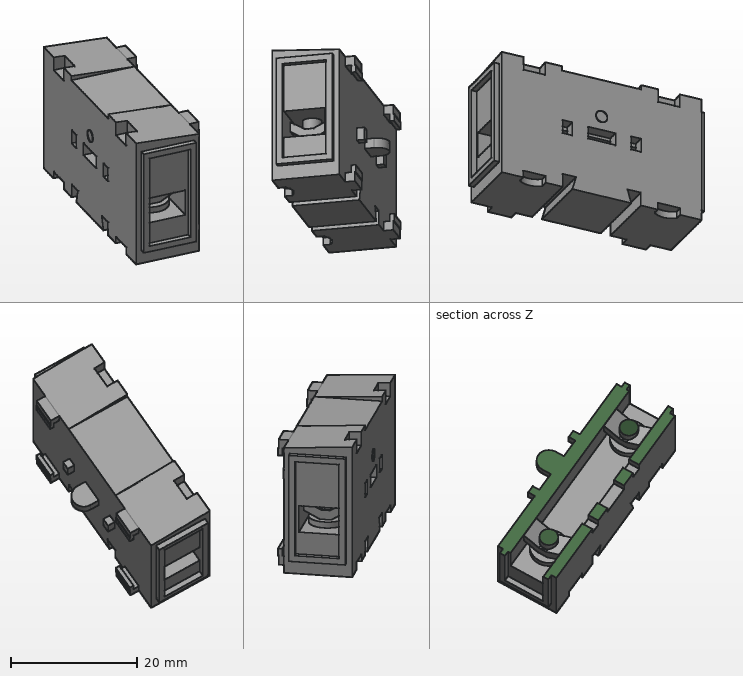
import cadquery as cq


TOTAL_LENGTH = 37.1
BODY_LENGTH = 35.25
BODY_DEPTH = 11.0
FRONT_HEIGHT = 21.8
BACK_HEIGHT = 21.05
LOW_TOP_WIDTH = 14.0

RIM_INSET = 0.93
RIM_WALL = 1.0
RIM_BOTTOM = 2.35
RIM_TOP = 20.1

CHANNEL_FRONT = RIM_INSET + RIM_WALL
CHANNEL_BACK = 8.57
CHANNEL_FLOOR = 7.0
CHANNEL_ROOF = 11.43

TERMINAL_X = 11.87

TOP_RECESS_WIDTH = 3.82
TOP_RECESS_FLOOR = 19.5
BOTTOM_RECESS_WIDTH = 3.95
BOTTOM_RECESS_RADIUS = 3.05
BOTTOM_RECESS_HEIGHT = 1.22

NOTCH_HEIGHT = RIM_BOTTOM
NOTCH_OUTER_X = 6.9
FOOT_HALF_TOP = 4.53
FOOT_HALF_BASE = 5.2

SOCKET_Z = 10.9
SIDE_SOCKET_X = 6.05
SIDE_SOCKET_WIDTH = 1.75
SIDE_SOCKET_HEIGHT = 2.37
MIDDLE_SOCKET_WIDTH = 4.85
MIDDLE_SOCKET_HEIGHT = 2.15

MARK_DIAMETER = 2.0
MARK_DEPTH = 0.1
MARK_Z = 14.45

TOTAL_DEPTH = 14.5
PEG_Z = 10.55
SIDE_PEG_X = 6.0
SIDE_PEG_WIDTH = 1.4
SIDE_PEG_HEIGHT = 2.05
SIDE_PEG_LENGTH = 1.22
MIDDLE_PEG_WIDTH = 3.97
MIDDLE_PEG_HEIGHT = 1.6

CLIP_WIDTH = 4.2
CLIP_ARM_LENGTH = 1.6
CLIP_ARM_HEIGHT = 1.52
CLIP_HOOK_HEIGHT = 2.7
CLIP_HOOK_START = 1.0
CLIP_HOOK_LIP = 0.1

SCREW_Y = 5.05
SHAFT_DIAMETER = 3.05
DISC_DIAMETER = 6.1
DISC_THICKNESS = 1.0
CLAMP_LENGTH = 3.7
CLAMP_THICKNESS = 1.55
CLAMP_RISE = 1.35
CLAMP_FLAT_TOP = 1.35
CLAMP_FLAT_BASE = 1.85


def box(x_range, y_range, z_range):
    """Box between the given limits on each axis."""
    limits = (x_range, y_range, z_range)
    sizes = [high - low for low, high in limits]
    corner = tuple(low for low, high in limits)
    return cq.Workplane("XY").box(*sizes, centered=False).translate(corner)


def around(centre, size):
    """Limits of a span of the given size about its centre."""
    return centre - size / 2, centre + size / 2


def make_block():
    """Block with a sloping top, level and lower in the middle."""
    half = BODY_LENGTH / 2
    profile = [(0, 0), (BODY_DEPTH, 0), (BODY_DEPTH, BACK_HEIGHT), (0, FRONT_HEIGHT)]
    block = cq.Workplane("YZ").polyline(profile).close().extrude(half, both=True)
    return block.cut(box(around(0, LOW_TOP_WIDTH), (0, BODY_DEPTH), (BACK_HEIGHT, FRONT_HEIGHT)))


def make_rims():
    """Rectangular rims standing on both end faces."""
    span = (-TOTAL_LENGTH / 2, TOTAL_LENGTH / 2)
    outer = box(span, (RIM_INSET, BODY_DEPTH - RIM_INSET), (RIM_BOTTOM, RIM_TOP))
    inner = box(
        span,
        (RIM_INSET + RIM_WALL, BODY_DEPTH - RIM_INSET - RIM_WALL),
        (RIM_BOTTOM + RIM_WALL, RIM_TOP - RIM_WALL),
    )
    body_gap = box(around(0, BODY_LENGTH), (0, BODY_DEPTH), (0, FRONT_HEIGHT))
    return outer.cut(inner).cut(body_gap)


def make_clip(x, base_z, direction):
    """Hooked clip whose outline rises (direction 1) or hangs (direction -1) from base_z."""
    arm_end = BODY_DEPTH + CLIP_ARM_LENGTH
    hook_start = BODY_DEPTH + CLIP_HOOK_START
    outline = [
        (BODY_DEPTH, 0),
        (arm_end, 0),
        (arm_end, CLIP_ARM_HEIGHT),
        (arm_end + CLIP_HOOK_LIP, CLIP_ARM_HEIGHT),
        (arm_end + CLIP_HOOK_LIP, CLIP_HOOK_HEIGHT),
        (hook_start, CLIP_HOOK_HEIGHT),
        (hook_start, CLIP_ARM_HEIGHT),
        (BODY_DEPTH, CLIP_ARM_HEIGHT),
    ]
    points = [(y, base_z + direction * z) for y, z in outline]
    profile = cq.Workplane("YZ", origin=(x, 0, 0)).polyline(points).close()
    return profile.extrude(CLIP_WIDTH / 2, both=True)


def make_middle_peg():
    """Peg with a round end at the middle of the back."""
    half = MIDDLE_PEG_WIDTH / 2
    straight_end = TOTAL_DEPTH - half
    return (
        cq.Workplane("XY", origin=(0, 0, PEG_Z - MIDDLE_PEG_HEIGHT / 2))
        .moveTo(-half, BODY_DEPTH)
        .lineTo(-half, straight_end)
        .threePointArc((0, TOTAL_DEPTH), (half, straight_end))
        .lineTo(half, BODY_DEPTH)
        .close()
        .extrude(MIDDLE_PEG_HEIGHT)
    )


def make_side_peg(side):
    """Square-ended peg on one side of the middle peg."""
    return box(
        around(side * SIDE_PEG_X, SIDE_PEG_WIDTH),
        (BODY_DEPTH, BODY_DEPTH + SIDE_PEG_LENGTH),
        around(PEG_Z, SIDE_PEG_HEIGHT),
    )


def make_notch(side):
    """Notch beside the dovetail foot, running from front to back."""
    outline = [
        (NOTCH_OUTER_X, 0),
        (NOTCH_OUTER_X, NOTCH_HEIGHT),
        (FOOT_HALF_TOP, NOTCH_HEIGHT),
        (FOOT_HALF_BASE, 0),
    ]
    points = [(side * x, z) for x, z in outline]
    return cq.Workplane("XZ").polyline(points).close().extrude(-BODY_DEPTH)


def make_top_recess(side):
    """Square recess in the top front edge."""
    return box(
        around(side * TERMINAL_X, TOP_RECESS_WIDTH),
        (0, CHANNEL_FRONT),
        (TOP_RECESS_FLOOR, FRONT_HEIGHT),
    )


def make_bottom_recess(side):
    """Recess in the bottom front edge, with flat sides and a hollow round back."""
    x = side * TERMINAL_X
    centre = (x, CHANNEL_FRONT - BOTTOM_RECESS_RADIUS, 0)
    round_back = cq.Workplane("XY", origin=centre).circle(BOTTOM_RECESS_RADIUS).extrude(BOTTOM_RECESS_HEIGHT)
    return round_back.intersect(
        box(around(x, BOTTOM_RECESS_WIDTH), (0, CHANNEL_FRONT), (0, BOTTOM_RECESS_HEIGHT))
    )


def make_socket(x, width, height):
    """Rectangular socket through the front wall."""
    return box(around(x, width), (0, CHANNEL_FRONT), around(SOCKET_Z, height))


def make_housing():
    """Housing with its rims, clips and pegs, hollowed by the channel and front openings."""
    housing = make_block().union(make_rims()).union(make_middle_peg())
    housing = housing.cut(
        box(around(0, BODY_LENGTH), (CHANNEL_FRONT, CHANNEL_BACK), (CHANNEL_FLOOR, CHANNEL_ROOF))
    )
    housing = housing.cut(make_socket(0, MIDDLE_SOCKET_WIDTH, MIDDLE_SOCKET_HEIGHT))
    for side in (-1, 1):
        housing = housing.union(make_side_peg(side))
        housing = housing.union(make_clip(side * TERMINAL_X, 0, 1))
        housing = housing.union(make_clip(side * TERMINAL_X, BACK_HEIGHT, -1))
        housing = housing.cut(make_notch(side))
        housing = housing.cut(make_top_recess(side))
        housing = housing.cut(make_bottom_recess(side))
        housing = housing.cut(make_socket(side * SIDE_SOCKET_X, SIDE_SOCKET_WIDTH, SIDE_SOCKET_HEIGHT))
    mark = cq.Workplane("XZ", origin=(0, 0, MARK_Z)).circle(MARK_DIAMETER / 2).extrude(-MARK_DEPTH)
    return housing.cut(mark)


def make_clamp(x):
    """V-shaped clamp plate that spans the channel above the disc."""
    base_z = CHANNEL_FLOOR + DISC_THICKNESS
    top_z = base_z + CLAMP_THICKNESS
    outline = [
        (CHANNEL_FRONT, base_z + CLAMP_RISE),
        (SCREW_Y - CLAMP_FLAT_BASE / 2, base_z),
        (SCREW_Y + CLAMP_FLAT_BASE / 2, base_z),
        (CHANNEL_BACK, base_z + CLAMP_RISE),
        (CHANNEL_BACK, top_z + CLAMP_RISE),
        (SCREW_Y + CLAMP_FLAT_TOP / 2, top_z),
        (SCREW_Y - CLAMP_FLAT_TOP / 2, top_z),
        (CHANNEL_FRONT, top_z + CLAMP_RISE),
    ]
    profile = cq.Workplane("YZ", origin=(x, 0, 0)).polyline(outline).close()
    return profile.extrude(CLAMP_LENGTH / 2, both=True)


def make_terminal(x):
    """Terminal screw standing between the channel floor and roof, with its clamp plate."""
    plane = cq.Workplane("XY", origin=(x, SCREW_Y, CHANNEL_FLOOR))
    shaft = plane.circle(SHAFT_DIAMETER / 2).extrude(CHANNEL_ROOF - CHANNEL_FLOOR)
    disc = plane.circle(DISC_DIAMETER / 2).extrude(DISC_THICKNESS)
    return disc.union(shaft).union(make_clamp(x))


housing = make_housing()
terminals = [make_terminal(side * TERMINAL_X) for side in (-1, 1)]

result = cq.Compound.makeCompound([housing.val(), *[terminal.val() for terminal in terminals]])